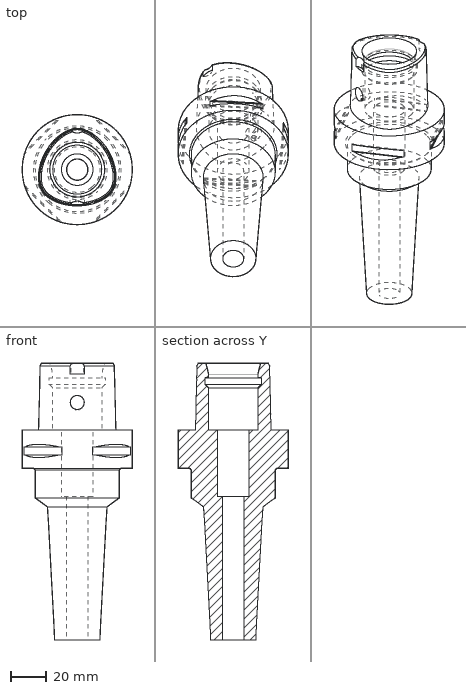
import cadquery as cq
import math

shank_height = 38.0
shank_base_width = 44.35
shank_taper = 1 / 20
lobe_offset = 1.4
rim_chamfer_height = 1.5
rim_chamfer_run = 0.75
profile_points = 48

flange_radius = 31.5
flange_thickness = 22.0
relief_height = 1.0
collar_radius = 24.0
collar_bottom_z = -39.0
collar_cone_bottom_z = -44.0
nose_top_radius = 17.1
nose_tip_radius = 13.0
overall_height = 158.0
nose_tip_z = shank_height - overall_height

slot_count = 4
slot_start_angle = 45.0
slot_floor_distance = 27.6
slot_floor_half_height = 2.25
slot_flare_distance = 28.3
slot_mouth_half_height = 3.8
slot_center_z = -12.05
slot_floor_length = 2 * math.sqrt(flange_radius**2 - slot_floor_distance**2)

mouth_radius = 15.6
land_radius = 14.0
land_top_depth = 6.4
groove_top_depth = 8.4
groove_bottom_depth = 12.0
groove_radius = 16.0
pocket_depth = 38.0
clearance_radius = 9.0
clearance_depth = 76.0
tool_bore_radius = 6.0

notch_depth = 6.2
notch_radius = 5.8
flat_notch_apex = 18.0
lobe_notch_apex = 20.9
side_hole_radius = 4.0
side_hole_z = 15.6
side_hole_floor = 15.2
pin_pocket_radius = 1.0
pin_pocket_y = -17.8
pin_pocket_depth = 0.2


def width_at(z):
    """Width of the shank across its lobes at height z."""
    return shank_base_width - shank_taper * z


def lobed_wire(width, z):
    """Closed three-lobed curve of constant width at height z."""
    points = []
    for i in range(profile_points):
        angle = 2 * math.pi * i / profile_points - math.pi / 2
        phase = 3 * (angle - math.pi / 2)
        reach = width / 2 + lobe_offset * math.cos(phase)
        slide = 3 * lobe_offset * math.sin(phase)
        x = reach * math.cos(angle) + slide * math.sin(angle)
        y = reach * math.sin(angle) - slide * math.cos(angle)
        points.append(cq.Vector(x, y, z))
    return cq.Wire.assembleEdges([cq.Edge.makeSpline(points, periodic=True)])


def make_shank():
    chamfer_z = shank_height - rim_chamfer_height
    base = lobed_wire(width_at(0), 0)
    shoulder = lobed_wire(width_at(chamfer_z), chamfer_z)
    rim = lobed_wire(width_at(chamfer_z) - 2 * rim_chamfer_run, shank_height)
    body = cq.Workplane(cq.Solid.makeLoft([base, shoulder], True))
    return body.union(cq.Workplane(cq.Solid.makeLoft([shoulder, rim], True)))


def revolve_profile(points):
    """Solid of revolution about Z from (radius, z) points, swept from the -Y side."""
    half_plane = [(-radius, z) for radius, z in points]
    return cq.Workplane("YZ").polyline(half_plane).close().revolve(360, (0, 0), (0, 1))


def make_turned_body():
    flange_bottom_z = -flange_thickness
    return revolve_profile([
        (0, 0),
        (flange_radius, 0),
        (flange_radius, flange_bottom_z),
        (collar_radius + relief_height, flange_bottom_z),
        (collar_radius, flange_bottom_z - relief_height),
        (collar_radius, collar_bottom_z),
        (nose_top_radius, collar_cone_bottom_z),
        (nose_tip_radius, nose_tip_z),
        (0, nose_tip_z),
    ])


def make_bore():
    groove_step = groove_radius - land_radius
    return revolve_profile([
        (0, shank_height),
        (mouth_radius, shank_height),
        (land_radius, shank_height - land_top_depth),
        (land_radius, shank_height - groove_top_depth),
        (groove_radius, shank_height - groove_top_depth),
        (groove_radius, shank_height - groove_bottom_depth),
        (land_radius, shank_height - groove_bottom_depth - groove_step),
        (land_radius, shank_height - pocket_depth),
        (clearance_radius, shank_height - pocket_depth),
        (clearance_radius, shank_height - clearance_depth),
        (tool_bore_radius, shank_height - clearance_depth),
        (tool_bore_radius, nose_tip_z),
        (0, nose_tip_z),
    ])


def make_gripper_slot():
    """Slot along Y whose straight upper and lower walls flare towards the flange rim."""
    half_section = [
        (slot_floor_distance, slot_floor_half_height),
        (slot_flare_distance, slot_floor_half_height),
        (flange_radius, slot_mouth_half_height),
    ]
    upper = [(x, slot_center_z + height) for x, height in half_section]
    lower = [(x, slot_center_z - height) for x, height in reversed(half_section)]
    section = upper + lower
    return cq.Workplane("XZ").polyline(section).close().extrude(slot_floor_length / 2, both=True)


def make_notch(apex_y):
    """Upright cylinder whose innermost line lies at apex_y, cutting down from the shank rim."""
    center_y = apex_y + math.copysign(notch_radius, apex_y)
    plane = cq.Workplane("XY", origin=(0, center_y, shank_height))
    return plane.circle(notch_radius).extrude(-notch_depth)


def make_side_hole():
    plane = cq.Workplane("XZ", origin=(0, -side_hole_floor, side_hole_z))
    return plane.circle(side_hole_radius).extrude(flange_radius - side_hole_floor)


def make_pin_pocket():
    """Small upright pocket sunk into the underside of the side hole."""
    bottom_z = side_hole_z - side_hole_radius - pin_pocket_depth
    plane = cq.Workplane("XY", origin=(0, pin_pocket_y, bottom_z))
    return plane.circle(pin_pocket_radius).extrude(side_hole_z - bottom_z)


result = make_turned_body().union(make_shank()).cut(make_bore())
for index in range(slot_count):
    slot_angle = slot_start_angle + index * 360 / slot_count
    result = result.cut(make_gripper_slot().rotate((0, 0, 0), (0, 0, 1), slot_angle))
for notch_apex_y in (-flat_notch_apex, lobe_notch_apex):
    result = result.cut(make_notch(notch_apex_y))
result = result.cut(make_side_hole()).cut(make_pin_pocket())